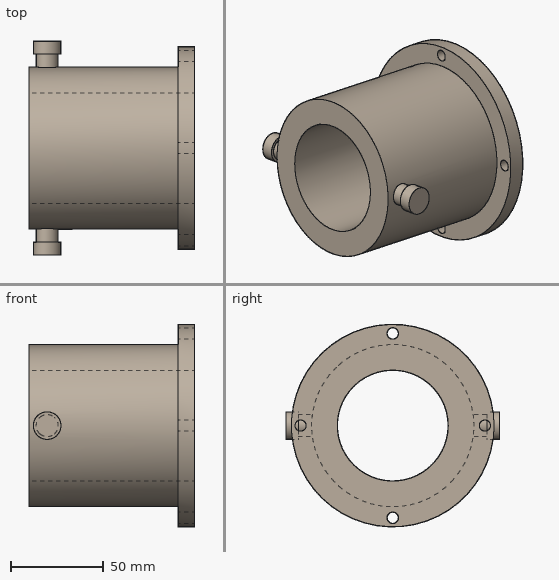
import cadquery as cq

total_length = 90.0
sleeve_diameter = 88.0
bore_diameter = 60.0
flange_diameter = 110.0
flange_thickness = 9.0

hole_diameter = 6.0
hole_circle_radius = 50.0
hole_count = 4

pin_span = 116.0
pin_position = 10.0
shank_diameter = 12.0
head_diameter = 15.0
head_length = 7.0

flange_start = total_length - flange_thickness
pin_root = (sleeve_diameter + bore_diameter) / 4


def cylinder_along_x(diameter, start, length):
    return cq.Workplane("YZ", origin=(start, 0, 0)).circle(diameter / 2).extrude(length)


def headed_pin(side):
    """Pin pointing towards +Y (side = 1) or -Y (side = -1)."""
    tip = pin_span / 2
    direction = cq.Vector(0, side, 0)

    def pin_section(diameter, start, end):
        base = cq.Vector(pin_position, side * start, 0)
        return cq.Solid.makeCylinder(diameter / 2, end - start, base, direction)

    shank = pin_section(shank_diameter, pin_root, tip)
    head = pin_section(head_diameter, tip - head_length, tip)
    return shank.fuse(head)


body = cylinder_along_x(sleeve_diameter, 0, total_length)
body = body.union(cylinder_along_x(flange_diameter, flange_start, flange_thickness))

for side in (-1, 1):
    body = body.union(cq.Workplane(obj=headed_pin(side)))

body = body.cut(cylinder_along_x(bore_diameter, 0, total_length))

flange_holes = (
    cq.Workplane("YZ", origin=(flange_start, 0, 0))
    .polarArray(hole_circle_radius, 0, 360, hole_count)
    .circle(hole_diameter / 2)
    .extrude(flange_thickness)
)

result = body.cut(flange_holes)